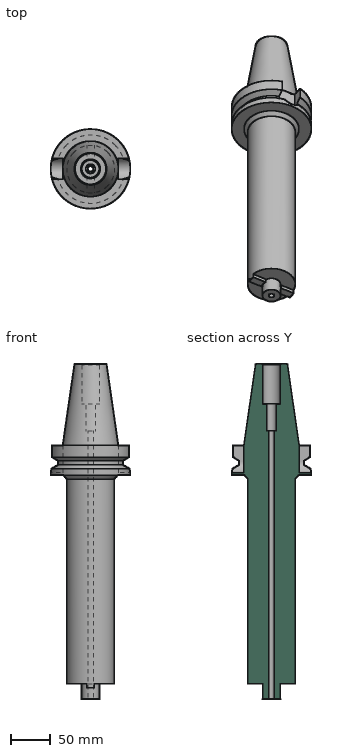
import cadquery as cq

total_length = 420.0

taper_length = 101.5
taper_small_radius = 20.0
taper_large_radius = 35.0
taper_edge_chamfer = 1.0
neck_height = 1.0

flange_radius = 50.0
flange_height = 37.0
flange_top = total_length - taper_length - neck_height
flange_bottom = flange_top - flange_height
upper_rim_height = 14.5
lower_rim_height = 8.0
groove_radius = 43.0
groove_flank_height = 4.5

collar_radius = 34.5
collar_height = 5.0

body_radius = 30.0
pilot_radius = 11.5
pilot_length = 19.0
key_width = 9.5
key_height = 5.0
key_inner_radius = 12.0

slot_width = 26.0
slot_depth = 33.5
slot_floor_distance = 35.0

thread_radius = 11.0
thread_depth = 50.5
thread_chamfer = 1.3
step_radius = 6.0
step_depth = 84.0
through_radius = 3.5


def make_turned_body():
    """Revolve the half section of the taper, flange, collar, body and pilot."""
    upper_rim_bottom = flange_top - upper_rim_height
    lower_rim_top = flange_bottom + lower_rim_height
    collar_bottom = flange_bottom - collar_height
    return (
        cq.Workplane("XZ")
        .moveTo(0, 0)
        .lineTo(pilot_radius, 0)
        .lineTo(pilot_radius, pilot_length)
        .lineTo(body_radius, pilot_length)
        .lineTo(body_radius, collar_bottom)
        .lineTo(collar_radius, flange_bottom)
        .lineTo(flange_radius, flange_bottom)
        .lineTo(flange_radius, lower_rim_top)
        .lineTo(groove_radius, lower_rim_top + groove_flank_height)
        .lineTo(groove_radius, upper_rim_bottom - groove_flank_height)
        .lineTo(flange_radius, upper_rim_bottom)
        .lineTo(flange_radius, flange_top)
        .lineTo(taper_large_radius, flange_top)
        .lineTo(taper_large_radius, total_length - taper_length)
        .lineTo(taper_small_radius, total_length)
        .lineTo(0, total_length)
        .close()
        .revolve(360, (0, 0), (0, 1))
        .faces(">Z")
        .edges()
        .chamfer(taper_edge_chamfer)
    )


def make_drive_slot(side):
    """Round-bottomed slot cutter on the +X (side = 1) or -X (side = -1) flank."""
    half_width = slot_width / 2
    arc_center_z = flange_top - slot_depth + half_width
    return (
        cq.Workplane("YZ", origin=(side * slot_floor_distance, 0, 0))
        .moveTo(-half_width, total_length)
        .lineTo(-half_width, arc_center_z)
        .threePointArc((0, flange_top - slot_depth), (half_width, arc_center_z))
        .lineTo(half_width, total_length)
        .close()
        .extrude(side * flange_radius)
    )


def make_drive_keys():
    """Two keys below the body end face, trimmed to the body's outer radius."""
    key_plane = cq.Workplane("XY", origin=(0, 0, pilot_length - key_height))
    bar = key_plane.rect(key_width, 2 * flange_radius).extrude(key_height)
    ring = key_plane.circle(body_radius).circle(key_inner_radius).extrude(key_height)
    return bar.intersect(ring)


def make_bore():
    """Chamfered threaded bore, intermediate step and through hole."""
    return (
        cq.Workplane("XZ")
        .moveTo(0, 0)
        .lineTo(through_radius, 0)
        .lineTo(through_radius, total_length - step_depth)
        .lineTo(step_radius, total_length - step_depth)
        .lineTo(step_radius, total_length - thread_depth)
        .lineTo(thread_radius, total_length - thread_depth)
        .lineTo(thread_radius, total_length - thread_chamfer)
        .lineTo(thread_radius + thread_chamfer, total_length)
        .lineTo(0, total_length)
        .close()
        .revolve(360, (0, 0), (0, 1))
    )


result = make_turned_body().union(make_drive_keys()).cut(make_bore())
for slot_side in (-1, 1):
    result = result.cut(make_drive_slot(slot_side))